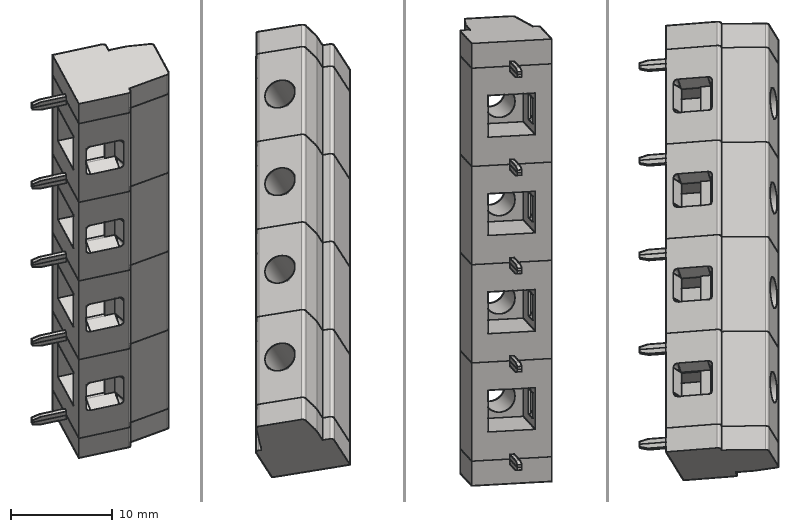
import cadquery as cq

total_height = 45.0
pole_count = 4
pole_pitch = 10.0
end_thickness = (total_height - pole_count * pole_pitch) / 2

base_width = 8.1
base_depth = 5.5
body_depth = 10.0
left_shoulder = 1.1
right_shoulder = 0.68
left_kink_depth = 7.4
back_left = -2.5
back_right = 2.48
shoulder_radius = 0.35
back_radius = 0.35

pin_length = 3.5
pin_thickness = 0.45
pin_height = 1.0
pin_tip_length = 0.85
pin_tip_height = 0.55

pocket_width = 4.75
pocket_height = 4.25
pocket_depth = 5.4
screw_hole_diameter = 3.1

entry_height = 2.6
entry_front = 1.2
window_depth = 2.0
recess_depth = 3.0
window_wall = 0.25
flare_angle = 18.0


def slice_body(bottom, thickness):
    """Plain slice of the stepped cross-section, standing on the height `bottom`."""
    half_width = base_width / 2
    body = (
        cq.Workplane("XY")
        .workplane(offset=bottom)
        .moveTo(-half_width, 0)
        .lineTo(half_width, 0)
        .lineTo(half_width, base_depth)
        .lineTo(half_width - right_shoulder, base_depth)
        .lineTo(back_right, body_depth)
        .lineTo(back_left, body_depth)
        .lineTo(-half_width + left_shoulder, left_kink_depth)
        .lineTo(-half_width + left_shoulder, base_depth)
        .lineTo(-half_width, base_depth)
        .close()
        .extrude(thickness)
    )
    middle = bottom + thickness / 2
    for x, y, radius in (
        (-half_width, base_depth, shoulder_radius),
        (half_width, base_depth, shoulder_radius),
        (back_left, body_depth, back_radius),
        (back_right, body_depth, back_radius),
    ):
        body = body.edges(cq.selectors.NearestToPointSelector((x, y, middle))).fillet(radius)
    return body


def half_pin(seam, side):
    """Half of a pin lying against the height `seam`: above it for side = 1, below for side = -1."""
    half_height = side * pin_height / 2
    half_tip = side * pin_tip_height / 2
    return (
        cq.Workplane("YZ")
        .workplane(offset=-pin_thickness / 2)
        .moveTo(0, seam)
        .lineTo(0, seam + half_height)
        .lineTo(-pin_length + pin_tip_length, seam + half_height)
        .lineTo(-pin_length, seam + half_tip)
        .lineTo(-pin_length, seam)
        .close()
        .extrude(pin_thickness)
    )


def wire_entry(center_height):
    """Cutter for the wire entry through the +X wall of a pole."""
    recess_floor = pocket_width / 2 + window_wall
    window = (
        cq.Workplane("YZ", origin=(0, entry_front + window_depth / 2, center_height))
        .rect(window_depth, entry_height)
        .extrude(recess_floor)
    )
    recess = (
        cq.Workplane("YZ", origin=(recess_floor, entry_front + recess_depth / 2, center_height))
        .rect(recess_depth, entry_height)
        .extrude(base_width / 2 - recess_floor, taper=-flare_angle)
    )
    return window.union(recess)


def make_pole(bottom):
    """Pole with a pocket, screw hole and wire entry, and half a pin at each of its two seams."""
    center_height = bottom + pole_pitch / 2
    pocket = (
        cq.Workplane("XY")
        .box(pocket_width, pocket_depth, pocket_height, centered=(True, False, True))
        .translate((0, 0, center_height))
    )
    screw_hole = (
        cq.Workplane("XZ", origin=(0, 0, center_height))
        .circle(screw_hole_diameter / 2)
        .extrude(-body_depth)
    )
    return (
        slice_body(bottom, pole_pitch)
        .cut(pocket)
        .cut(screw_hole)
        .cut(wire_entry(center_height))
        .union(half_pin(bottom, 1))
        .union(half_pin(bottom + pole_pitch, -1))
    )


def make_end(bottom, seam, pin_side):
    """Solid end slice with half a pin at the seam that it shares with a pole."""
    return slice_body(bottom, end_thickness).union(half_pin(seam, pin_side))


stack_bottom = -total_height / 2
first_seam = stack_bottom + end_thickness
last_seam = first_seam + pole_count * pole_pitch

bottom_end = make_end(stack_bottom, first_seam, -1)
top_end = make_end(last_seam, last_seam, 1)
poles = [make_pole(first_seam + i * pole_pitch) for i in range(pole_count)]

result = cq.Compound.makeCompound(
    [bottom_end.val(), *[pole.val() for pole in poles], top_end.val()]
)